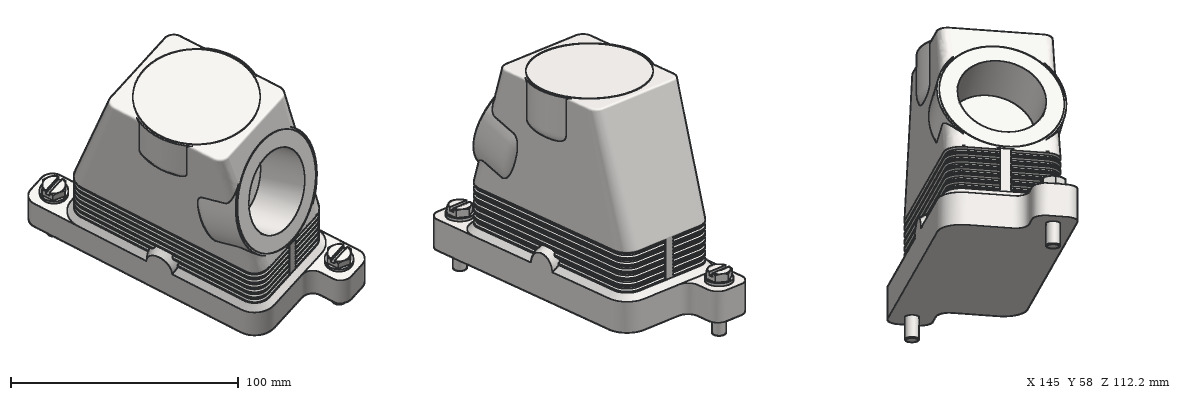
import cadquery as cq
import math

base_length = 108.2
base_width = 58.0
base_height = 15.2
base_corner_radius = 10.7
base_chamfer = 2.9

overall_length = 145.0
ear_width = 20.3
ear_corner_radius = 6.0

hood_length = base_length - 2 * base_chamfer
hood_width = base_width - 2 * base_chamfer
hood_corner_radius = base_corner_radius - base_chamfer
hood_top_length = 62.4
hood_top_corner_radius = 5.1
band_bottom = base_height + base_chamfer
band_top = 38.4
hood_top = 101.2
hood_slope = math.atan2((hood_length - hood_top_length) / 2, hood_top - band_top)
top_edge_fillet = 1.2

groove_count = 6
land_height = 0.7
groove_pitch = (band_top - band_bottom - land_height) / groove_count
groove_mouth = groove_pitch - land_height
groove_depth = 0.9
groove_floor = 0.9
ring_margin = 1.5
grip_pad_width = 4.8

boss_radius = base_width / 2
boss_length = 24.4
boss_inner_fillet = 5.8
disc_radius = 28.0
disc_height = 0.3
entry_height = 65.8
entry_hole_radius = 19.9

bump_radius = 6.8
bump_flare_angle = math.radians(30)

screw_inset = 9.5
shank_radius = 3.2
shank_bottom = -10.7
shank_chamfer = 0.5
flange_radius = 6.4
flange_height = 1.5
head_height = 3.9
head_flats = 10.2
head_chamfer_angle = math.radians(30)
slot_width = 2.0
slot_depth = 1.7

screw_x = overall_length / 2 - screw_inset
screw_y = (base_width - ear_width) / 2
screw_places = [(-screw_x, -screw_y), (screw_x, screw_y)]


def rounded_block(length, width, radius, bottom, top):
    """Upright block centred on the Z axis with rounded vertical edges."""
    block = cq.Workplane("XY", origin=(0, 0, bottom)).rect(length, width).extrude(top - bottom)
    return block.edges("|Z").fillet(radius)


def rounded_outline(length, width, radius, z):
    """Closed wire of a rounded rectangle at height z."""
    outline = cq.Workplane("XY", origin=(0, 0, z)).rect(length, width).val()
    return outline.fillet2D(radius, outline.Vertices())


def make_base():
    """Flange, chamfered towards the hood, with an ear at two opposite corners."""
    flange = rounded_block(base_length, base_width, base_corner_radius, 0, band_bottom)
    flange = flange.faces(">Z").edges().chamfer(base_chamfer)
    ear = make_ear()
    return flange.union(ear).union(ear.rotate((0, 0, 0), (0, 0, 1), 180))


def make_ear():
    """Ear at the +X +Y corner, running into the end of the base with a concave round."""
    end = overall_length / 2
    side = base_width / 2
    inner_side = side - ear_width
    root = base_length / 2
    radius = ear_corner_radius
    return (
        cq.Workplane("XY")
        .moveTo(root - base_corner_radius, side)
        .lineTo(end - radius, side)
        .radiusArc((end, side - radius), radius)
        .lineTo(end, inner_side + radius)
        .radiusArc((end - radius, inner_side), radius)
        .lineTo(root + radius, inner_side)
        .radiusArc((root, inner_side - radius), -radius)
        .lineTo(root - base_corner_radius, inner_side - radius)
        .close()
        .extrude(base_height)
    )


def make_hood():
    """Grooved band with a tapered upper part whose top edge is rounded."""
    upper = cq.Workplane(
        cq.Solid.makeLoft(
            [
                rounded_outline(hood_length, hood_width, hood_corner_radius, band_top),
                rounded_outline(hood_top_length, hood_width, hood_top_corner_radius, hood_top),
            ],
            True,
        )
    )
    upper = upper.faces(">Z").edges().fillet(top_edge_fillet)
    band = rounded_block(hood_length, hood_width, hood_corner_radius, band_bottom, band_top)
    for ring in make_groove_rings():
        band = band.cut(ring)
    pads = (
        cq.Workplane("XY", origin=(0, 0, band_bottom))
        .rect(hood_length, grip_pad_width)
        .extrude(band_top - band_bottom)
    )
    return upper.union(band).union(pads)


def make_groove_rings():
    """Trapezoidal rings to be cut from the band, evenly spaced up its height."""
    first = band_bottom + land_height + groove_mouth / 2
    rings = []
    for index in range(groove_count):
        z = first + index * groove_pitch
        outer = rounded_block(
            hood_length + 2 * ring_margin,
            hood_width + 2 * ring_margin,
            hood_corner_radius + ring_margin,
            z - groove_mouth / 2,
            z + groove_mouth / 2,
        )
        rings.append(outer.cut(make_groove_core(z)))
    return rings


def make_groove_core(z):
    """Waisted block left standing inside one groove."""
    sections = [
        (0, -groove_mouth / 2),
        (groove_depth, -groove_floor / 2),
        (groove_depth, groove_floor / 2),
        (0, groove_mouth / 2),
    ]
    wires = [
        rounded_outline(
            hood_length - 2 * inset,
            hood_width - 2 * inset,
            hood_corner_radius - inset,
            z + offset,
        )
        for inset, offset in sections
    ]
    return cq.Workplane(cq.Solid.makeLoft(wires, True))


def make_boss(face):
    """Round boss sunk into the hood behind the given face plane, with a thin disc raised in front."""
    boss = cq.Workplane("XY").circle(boss_radius).extrude(-boss_length)
    boss = boss.faces("<Z").edges().fillet(boss_inner_fillet)
    disc = cq.Workplane("XY").circle(disc_radius).extrude(disc_height)
    return cq.Workplane(boss.union(disc).val().moved(cq.Location(face)))


def make_bumps():
    """Flared bumps on both long sides, widening towards the hood."""
    run = base_chamfer + groove_depth
    inner_radius = bump_radius + run * math.tan(bump_flare_angle)
    bumps = []
    for side in (-1, 1):
        cone = cq.Solid.makeCone(
            bump_radius,
            inner_radius,
            run,
            cq.Vector(0, side * base_width / 2, base_height),
            cq.Vector(0, -side, 0),
        )
        bumps.append(cone)
    return bumps


def make_housing():
    """Base, hood, bosses and bumps as one body, with the cable entry and screw holes."""
    entry_x = hood_length / 2 - (entry_height - band_top) * math.tan(hood_slope)
    top_face = cq.Plane(origin=(0, 0, hood_top))
    entry_face = cq.Plane(
        origin=(entry_x, 0, entry_height),
        xDir=(0, 1, 0),
        normal=(math.cos(hood_slope), 0, math.sin(hood_slope)),
    )
    housing = make_base().union(make_hood())
    for bump in make_bumps():
        housing = housing.union(cq.Workplane(bump))
    housing = housing.union(make_boss(top_face)).union(make_boss(entry_face))
    cable_entry = (
        cq.Workplane(entry_face)
        .workplane(offset=disc_height)
        .circle(entry_hole_radius)
        .extrude(-disc_height - boss_length)
    )
    screw_holes = cq.Workplane("XY").pushPoints(screw_places).circle(shank_radius).extrude(base_height)
    return housing.cut(cable_entry).cut(screw_holes)


def make_screw(x, y):
    """Slotted hexagon-head screw with a round flange, seated on an ear."""
    shank_length = base_height - shank_bottom
    shank = cq.Workplane("XY", origin=(0, 0, shank_bottom)).circle(shank_radius).extrude(shank_length)
    shank = shank.faces("<Z").edges().chamfer(shank_chamfer)
    flange = cq.Workplane("XY", origin=(0, 0, base_height)).circle(flange_radius).extrude(flange_height)
    seat = base_height + flange_height
    across_corners = head_flats / math.cos(math.pi / 6)
    head = cq.Workplane("XY", origin=(0, 0, seat)).polygon(6, across_corners).extrude(head_height)
    cone_run = head_height / math.tan(head_chamfer_angle)
    cone = cq.Solid.makeCone(head_flats / 2 + cone_run, head_flats / 2, head_height, cq.Vector(0, 0, seat))
    head = head.intersect(cq.Workplane(cone))
    slot = (
        cq.Workplane("XY", origin=(0, 0, seat + head_height))
        .rect(slot_width, across_corners)
        .extrude(-slot_depth)
    )
    return shank.union(flange).union(head.cut(slot)).translate((x, y, 0))


housing = make_housing()
screws = [make_screw(x, y) for x, y in screw_places]

result = cq.Compound.makeCompound([housing.val(), *[screw.val() for screw in screws]])